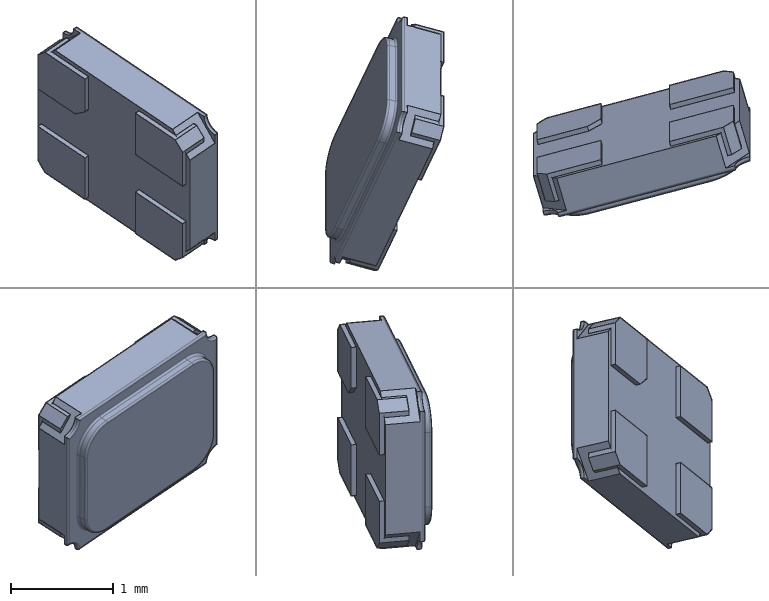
import cadquery as cq

LENGTH = 2.1
WIDTH = 1.7
HOUSING_HEIGHT = 0.4
LID_HEIGHT = 0.1
EDGE_ROUND = 0.02

RIM_THICKNESS = 0.05
BEVEL_ALONG_X = 0.24
BEVEL_ALONG_Z = 0.256
SCOOP_RADIUS = 0.15

LID_INSET = 0.15
LID_CORNER_RADIUS = 0.3

PAD_LENGTH = 0.65
PAD_WIDTH = 0.55
PAD_THICKNESS = 0.05
PAD_INSET = 0.05
PAD_BEVEL = 0.1
RISER_HEIGHT = 0.248
MARK_ALONG_X = 0.136
MARK_ALONG_Z = 0.113

HOUSING_FRONT = PAD_THICKNESS
HOUSING_BACK = HOUSING_FRONT + HOUSING_HEIGHT
RIM_FRONT = HOUSING_BACK - RIM_THICKNESS

HALF_LENGTH = LENGTH / 2
HALF_WIDTH = WIDTH / 2
CORNER_SIGNS = [(-1, -1), (1, -1), (1, 1), (-1, 1)]
MARKED_CORNER = (-1, 1)


def plane_at(y):
    """Workplane at level y, with local axes along X and Z; negative extrusions go toward +Y."""
    return cq.Workplane("XZ", origin=(0, y, 0))


def corner_prism(side_x, side_z, points, y, height):
    """Prism at one corner; each point is a distance inward from the corner along X and Z."""
    outline = [(side_x * (HALF_LENGTH - dx), side_z * (HALF_WIDTH - dz)) for dx, dz in points]
    return plane_at(y).polyline(outline).close().extrude(-height)


def make_housing():
    body = plane_at(HOUSING_FRONT).rect(LENGTH, WIDTH).extrude(-HOUSING_HEIGHT)

    bevel = [(0, 0), (BEVEL_ALONG_X, 0), (0, BEVEL_ALONG_Z)]
    for side_x, side_z in CORNER_SIGNS:
        body = body.cut(corner_prism(side_x, side_z, bevel, HOUSING_FRONT, RIM_FRONT - HOUSING_FRONT))
        scoop = (
            plane_at(RIM_FRONT)
            .center(side_x * HALF_LENGTH, side_z * HALF_WIDTH)
            .circle(SCOOP_RADIUS)
            .extrude(-RIM_THICKNESS)
        )
        body = body.cut(scoop)
    body = body.faces(">Y").edges().fillet(EDGE_ROUND)

    lid = (
        plane_at(HOUSING_BACK)
        .rect(LENGTH - 2 * LID_INSET, WIDTH - 2 * LID_INSET)
        .extrude(-LID_HEIGHT)
        .edges("|Y")
        .fillet(LID_CORNER_RADIUS)
        .faces(">Y")
        .edges()
        .fillet(EDGE_ROUND)
    )
    lid_foot = cq.selectors.BoxSelector(
        (-HALF_LENGTH + LID_INSET / 2, HOUSING_BACK - EDGE_ROUND / 2, -HALF_WIDTH + LID_INSET / 2),
        (HALF_LENGTH - LID_INSET / 2, HOUSING_BACK + EDGE_ROUND / 2, HALF_WIDTH - LID_INSET / 2),
    )
    return body.union(lid).edges(lid_foot).fillet(EDGE_ROUND)


def make_pad(side_x, side_z):
    outer = PAD_INSET
    inner_x = PAD_INSET + PAD_LENGTH
    inner_z = PAD_INSET + PAD_WIDTH
    bevel_end = PAD_INSET + PAD_BEVEL

    if (side_x, side_z) == MARKED_CORNER:
        inner_corner = [(inner_x, inner_z - MARK_ALONG_Z), (inner_x - MARK_ALONG_X, inner_z)]
    else:
        inner_corner = [(inner_x, inner_z)]
    plate_points = [(bevel_end, outer), (inner_x, outer), *inner_corner, (outer, inner_z), (outer, bevel_end)]
    plate = corner_prism(side_x, side_z, plate_points, 0, PAD_THICKNESS)

    riser_end_x = BEVEL_ALONG_X * (1 - outer / BEVEL_ALONG_Z)
    riser_end_z = BEVEL_ALONG_Z * (1 - outer / BEVEL_ALONG_X)
    riser_points = [(bevel_end, outer), (riser_end_x, outer), (outer, riser_end_z), (outer, bevel_end)]
    riser = corner_prism(side_x, side_z, riser_points, 0, PAD_THICKNESS + RISER_HEIGHT)
    return plate.union(riser)


housing = make_housing()
pads = [make_pad(side_x, side_z) for side_x, side_z in CORNER_SIGNS]

result = cq.Compound.makeCompound([housing.solids().val(), *[pad.solids().val() for pad in pads]])